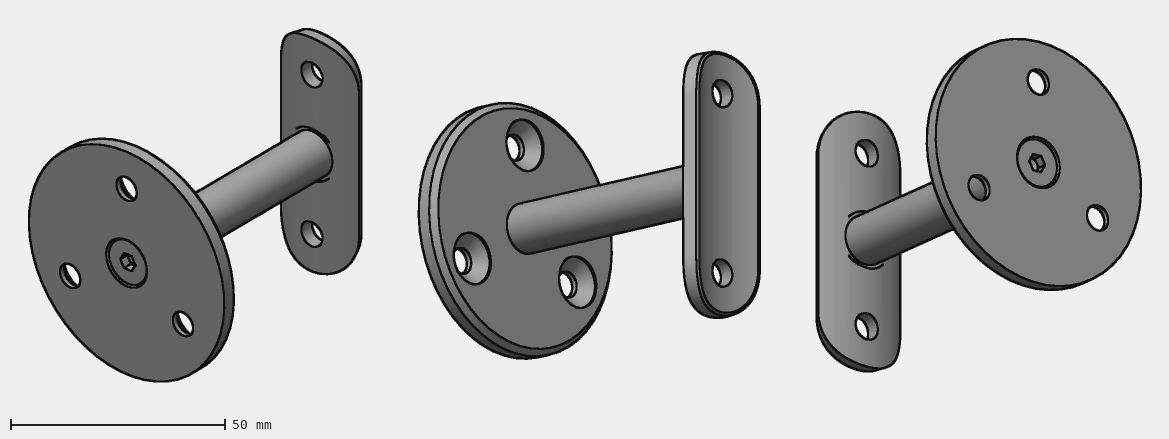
import cadquery as cq
import math


rosette_diameter = 60.0
rosette_thickness = 5.0
rosette_chamfer = 1.5
mount_hole_count = 3
mount_hole_diameter = 6.2
mount_hole_circle_radius = 20.0
mount_hole_depth = 1.5
mount_sink_diameter = 12.2

screw_sink_diameter = 12.5
screw_head_diameter = 11.55
screw_shank_diameter = 6.0
screw_length = 20.0
socket_width = 4.0
socket_depth = 2.5
socket_tip_angle = 120

post_diameter = 12.0

saddle_inner_radius = 21.2
saddle_thickness = 3.8
saddle_width = 24.0
saddle_height = 63.0
saddle_front = 66.55
saddle_chamfer = 0.6
saddle_hole_diameter = 6.5
saddle_hole_offset = 21.5
seat_diameter = 13.95
seat_depth = 0.5

ellipse_handle = 4 / 3 * (math.sqrt(2) - 1)

screw_head_sink = (screw_sink_diameter - screw_head_diameter) / 2
screw_cone_end = (screw_sink_diameter - screw_shank_diameter) / 2
screw_end = screw_head_sink + screw_length
mount_cone_end = mount_hole_depth + (mount_sink_diameter - mount_hole_diameter) / 2
post_end = saddle_front + seat_depth
saddle_outer_radius = saddle_inner_radius + saddle_thickness
saddle_axis_y = saddle_front + saddle_outer_radius
saddle_end_rise = saddle_width / 2
saddle_straight_half = saddle_height / 2 - saddle_end_rise
saddle_half_slope = math.tan(math.asin(saddle_width / 2 / saddle_outer_radius))


def cylinder_y(diameter, start, end, x=0, z=0):
    """Cylinder along Y between two Y positions."""
    return cq.Workplane(
        cq.Solid.makeCylinder(diameter / 2, end - start, cq.Vector(x, start, z), cq.Vector(0, 1, 0))
    )


def cone_y(start_diameter, end_diameter, start, end, x=0, z=0):
    """Truncated cone along Y between two Y positions."""
    return cq.Workplane(
        cq.Solid.makeCone(
            start_diameter / 2, end_diameter / 2, end - start, cq.Vector(x, start, z), cq.Vector(0, 1, 0)
        )
    )


def make_screw():
    head = cone_y(screw_head_diameter, screw_shank_diameter, screw_head_sink, screw_cone_end)
    shank = cylinder_y(screw_shank_diameter, screw_cone_end, screw_end)

    corner_diameter = socket_width / math.cos(math.pi / 6)
    socket_floor = screw_head_sink + socket_depth
    hexagon = (
        cq.Workplane("XZ", origin=(0, screw_head_sink, 0))
        .polygon(6, corner_diameter)
        .extrude(-socket_depth)
    )
    tip_height = socket_width / 2 / math.tan(math.radians(socket_tip_angle / 2))
    tip = cone_y(socket_width, 0, socket_floor, socket_floor + tip_height)
    return head.union(shank).cut(hexagon).cut(tip)


def make_rosette():
    rosette = cylinder_y(rosette_diameter, 0, rosette_thickness).faces(">Y").edges().chamfer(rosette_chamfer)

    rosette = rosette.cut(cylinder_y(screw_shank_diameter, 0, rosette_thickness))
    rosette = rosette.cut(cone_y(screw_sink_diameter, screw_shank_diameter, 0, screw_cone_end))

    for index in range(mount_hole_count):
        angle = math.radians(90 + index * 360 / mount_hole_count)
        x = mount_hole_circle_radius * math.cos(angle)
        z = mount_hole_circle_radius * math.sin(angle)
        rosette = rosette.cut(cylinder_y(mount_hole_diameter, 0, rosette_thickness, x, z))
        sink = cone_y(mount_hole_diameter, mount_sink_diameter, mount_hole_depth, mount_cone_end, x, z)
        rosette = rosette.cut(sink)
        rosette = rosette.cut(cylinder_y(mount_sink_diameter, mount_cone_end, rosette_thickness, x, z))
    return rosette


def make_post():
    post = cylinder_y(post_diameter, rosette_thickness, post_end)
    return post.cut(cylinder_y(screw_shank_diameter, rosette_thickness, screw_end))


def saddle_outline(distance):
    """Round-ended outline at a distance from the saddle axis; its width grows with the distance."""
    half_width = saddle_half_slope * distance

    def point(across, rise, end):
        """Place given as fractions of the half width and of the end rise, at the top (1) or bottom (-1)."""
        z = end * (saddle_straight_half + rise * saddle_end_rise)
        return cq.Vector(across * half_width, saddle_axis_y - distance, z)

    def quarter(side, end):
        """Quarter-ellipse curve from the long side to the tip of the end."""
        return cq.Edge.makeBezier(
            [
                point(side, 0, end),
                point(side, ellipse_handle, end),
                point(side * ellipse_handle, 1, end),
                point(0, 1, end),
            ]
        )

    edges = []
    for side in (1, -1):
        edges.append(cq.Edge.makeLine(point(side, 0, -1), point(side, 0, 1)))
        edges.extend(quarter(side, end) for end in (1, -1))
    return cq.Wire.assembleEdges(edges)


def make_saddle():
    ring = (
        cq.Workplane("XY", origin=(0, saddle_axis_y, -saddle_height / 2))
        .circle(saddle_outer_radius)
        .circle(saddle_inner_radius)
        .extrude(saddle_height)
    )
    near_outline = saddle_outline(saddle_inner_radius / 2)
    far_outline = saddle_outline(saddle_outer_radius + saddle_thickness)
    wedge = cq.Solid.makeLoft([near_outline, far_outline], ruled=True)
    saddle = ring.intersect(cq.Workplane(wedge))

    concave_face = max(saddle.faces("%CYLINDER").vals(), key=lambda face: face.Center().y)
    saddle = saddle.newObject(concave_face.Edges()).chamfer(saddle_chamfer)

    saddle = saddle.cut(cylinder_y(seat_diameter, saddle_front, post_end))

    for z in (-saddle_hole_offset, saddle_hole_offset):
        saddle = saddle.cut(cylinder_y(saddle_hole_diameter, saddle_front, saddle_axis_y, 0, z))
    return saddle


screw = make_screw()
rosette = make_rosette()
post = make_post()
saddle = make_saddle()

bodies = [body.solids().val() for body in (rosette, screw, post, saddle)]
result = cq.Compound.makeCompound(bodies)